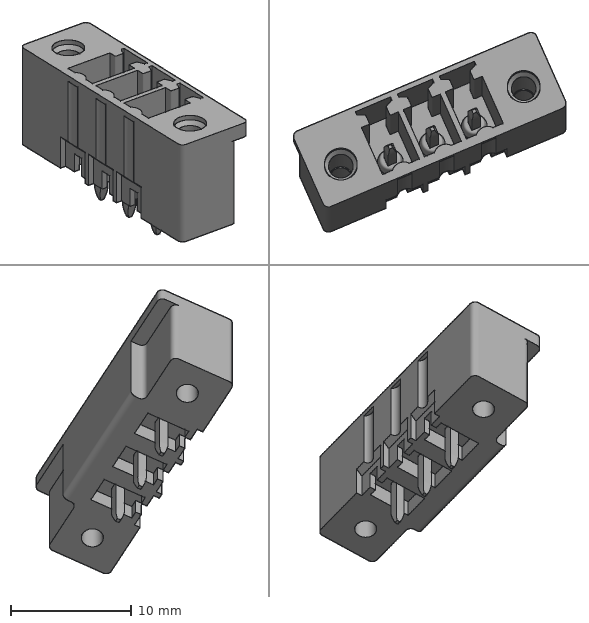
import cadquery as cq

LENGTH = 22.02
WIDTH = 7.05
HEIGHT = 9.2
FRONT_Y = -3.0
BACK_Y = FRONT_Y + WIDTH
CORNER_RADIUS = 0.5

FLANGE_THICKNESS = 1.35
TONGUE_DEPTH = 1.25
FLANGE_BOTTOM = HEIGHT - FLANGE_THICKNESS
SHOULDER_Y = BACK_Y - TONGUE_DEPTH

POLE_COUNT = 3
PITCH = 3.8
POLE_XS = [(i - (POLE_COUNT - 1) / 2) * PITCH for i in range(POLE_COUNT)]

CHAMBER_WIDTH = 3.35
FRONT_WALL = 0.8
CHAMBER_FRONT_Y = FRONT_Y + FRONT_WALL
CHAMBER_BACK_Y = 2.18
CHAMBER_FLOOR = 2.2
NECK_WIDTH = 1.85
NECK_END_Y = 3.02
NECK_CORNER_RADIUS = 0.09
KEY_WIDTH = 3.17
KEY_START_Y = 3.33
KEY_END_Y = 3.61

CHAMBER_WALL = PITCH - CHAMBER_WIDTH
TONGUE_LENGTH = POLE_COUNT * PITCH + CHAMBER_WALL

BULGE_RADIUS = 1.0
BULGE_RISE = 0.35
GROOVE_RADIUS = 0.84
GROOVE_DEPTH = 0.33
GROOVE_TOP = 8.68

RECESS_DEPTH = 0.53
RECESS_ROOF = 2.45

SLOT_WIDTH = 0.97
POCKET_HEIGHT = 1.7
POCKET_WIDTH = 2.33
SLOT_DEPTH = 0.53
POCKET_FRONT_Y = FRONT_Y + RECESS_DEPTH + SLOT_DEPTH

COLLAR_FOOT_RADIUS = 1.08
COLLAR_TOP_RADIUS = 0.85
COLLAR_HEIGHT = 0.88
COLLAR_FILLET = 0.22

HOLE_SPACING = 16.6
HOLE_XS = [-HOLE_SPACING / 2, HOLE_SPACING / 2]
MOUTH_DIAMETER = 2.73
MOUTH_DEPTH = 0.42
BORE_DIAMETER = 2.03
CONE_DEPTH = (MOUTH_DIAMETER - BORE_DIAMETER) / 2
BORE_BOTTOM = FLANGE_BOTTOM / 2
EXIT_DIAMETER = 1.83

PIN_SIZE = 0.8
PIN_BOTTOM = -3.2
PIN_TOP = 7.85
TIP_LENGTH = 1.1
TIP_SIZE = 0.3

SELECT_MARGIN = 0.02


def centered_box(x, width, y0, y1, z0, z1):
    """Box centered on x, between the given Y and Z limits."""
    box = cq.Workplane("XY").box(width, y1 - y0, z1 - z0, centered=(True, False, False))
    return box.translate((x, y0, z0))


def make_block():
    """Rounded block whose back is notched at both ends below the top flange."""
    flange = centered_box(0, LENGTH, FRONT_Y, BACK_Y, FLANGE_BOTTOM, HEIGHT)
    flange = flange.edges("|Z").fillet(CORNER_RADIUS)
    body = centered_box(0, LENGTH, FRONT_Y, SHOULDER_Y, 0, FLANGE_BOTTOM)
    body = body.edges("|Z").fillet(CORNER_RADIUS)

    tongue = centered_box(0, TONGUE_LENGTH, SHOULDER_Y, BACK_Y, 0, FLANGE_BOTTOM)
    block = body.union(tongue)

    tongue_half = TONGUE_LENGTH / 2
    inner_corners = cq.selectors.BoxSelector(
        (-tongue_half - SELECT_MARGIN, SHOULDER_Y - SELECT_MARGIN, 0),
        (tongue_half + SELECT_MARGIN, SHOULDER_Y + SELECT_MARGIN, HEIGHT),
    )
    block = block.edges("|Z").edges(inner_corners).fillet(CORNER_RADIUS)
    block = block.edges("|X").edges(">Y and <Z").fillet(CORNER_RADIUS)
    return block.union(flange)


def make_chamber(x):
    """Keyed cavity with a bulged front wall and a collar left standing around the pin."""
    half_neck = NECK_WIDTH / 2
    half_key = KEY_WIDTH / 2
    main = centered_box(x, CHAMBER_WIDTH, CHAMBER_FRONT_Y, CHAMBER_BACK_Y, CHAMBER_FLOOR, HEIGHT)
    key = (
        cq.Workplane("XY", origin=(x, 0, CHAMBER_FLOOR))
        .moveTo(-half_neck, CHAMBER_BACK_Y)
        .lineTo(-half_neck, NECK_END_Y)
        .lineTo(-half_key, KEY_START_Y)
        .lineTo(-half_key, KEY_END_Y)
        .lineTo(half_key, KEY_END_Y)
        .lineTo(half_key, KEY_START_Y)
        .lineTo(half_neck, NECK_END_Y)
        .lineTo(half_neck, CHAMBER_BACK_Y)
        .close()
        .extrude(HEIGHT - CHAMBER_FLOOR)
    )
    neck_corners = cq.selectors.BoxSelector(
        (x - half_neck - SELECT_MARGIN, CHAMBER_BACK_Y - SELECT_MARGIN, CHAMBER_FLOOR),
        (x + half_neck + SELECT_MARGIN, CHAMBER_BACK_Y + SELECT_MARGIN, HEIGHT),
    )
    cavity = main.union(key).edges("|Z").edges(neck_corners).fillet(NECK_CORNER_RADIUS)

    bulge_y = CHAMBER_FRONT_Y + BULGE_RISE - BULGE_RADIUS
    bulge = (
        cq.Workplane("XY", origin=(x, bulge_y, CHAMBER_FLOOR))
        .circle(BULGE_RADIUS)
        .extrude(HEIGHT - CHAMBER_FLOOR)
    )
    return cavity.cut(bulge).cut(make_collar(x))


def make_collar(x):
    """Tapered collar with a rounded top edge."""
    collar = (
        cq.Workplane("XZ", origin=(x, 0, CHAMBER_FLOOR))
        .polyline(
            [
                (0, 0),
                (COLLAR_FOOT_RADIUS, 0),
                (COLLAR_TOP_RADIUS, COLLAR_HEIGHT),
                (0, COLLAR_HEIGHT),
            ]
        )
        .close()
        .revolve(360, (0, 0, 0), (0, 1, 0))
    )
    return collar.faces(">Z").edges().fillet(COLLAR_FILLET)


def make_front_relief(x):
    """Groove and recess in the front face, with the slot and pocket under the pole."""
    recess = (
        cq.Workplane("YZ", origin=(x - CHAMBER_WIDTH / 2, 0, 0))
        .polyline(
            [
                (FRONT_Y, 0),
                (FRONT_Y, RECESS_ROOF + RECESS_DEPTH),
                (FRONT_Y + RECESS_DEPTH, RECESS_ROOF),
                (FRONT_Y + RECESS_DEPTH, 0),
            ]
        )
        .close()
        .extrude(CHAMBER_WIDTH)
    )
    groove = (
        cq.Workplane("XY", origin=(x, FRONT_Y + GROOVE_DEPTH - GROOVE_RADIUS, 0))
        .circle(GROOVE_RADIUS)
        .extrude(GROOVE_TOP)
    )
    slot = centered_box(x, SLOT_WIDTH, FRONT_Y, POCKET_FRONT_Y, 0, POCKET_HEIGHT)
    pocket = centered_box(x, POCKET_WIDTH, POCKET_FRONT_Y, -POCKET_FRONT_Y, 0, POCKET_HEIGHT)
    return recess.union(groove).union(slot).union(pocket)


def make_screw_hole(x):
    """Countersunk mouth, bore and narrower exit, from the top face down."""
    cone_top = HEIGHT - MOUTH_DEPTH
    cone_bottom = cone_top - CONE_DEPTH
    return (
        cq.Workplane("XZ", origin=(x, 0, 0))
        .polyline(
            [
                (0, 0),
                (EXIT_DIAMETER / 2, 0),
                (EXIT_DIAMETER / 2, BORE_BOTTOM),
                (BORE_DIAMETER / 2, BORE_BOTTOM),
                (BORE_DIAMETER / 2, cone_bottom),
                (MOUTH_DIAMETER / 2, cone_top),
                (MOUTH_DIAMETER / 2, HEIGHT),
                (0, HEIGHT),
            ]
        )
        .close()
        .revolve(360, (0, 0, 0), (0, 1, 0))
    )


def make_pin(x):
    """Square pin; each tip tapers straight in X and along an arc in Y."""
    half = PIN_SIZE / 2
    half_tip = TIP_SIZE / 2
    low = PIN_BOTTOM + TIP_LENGTH
    high = PIN_TOP - TIP_LENGTH
    inset = half - half_tip
    arc_radius = (TIP_LENGTH**2 + inset**2) / (2 * inset)
    arc_y = half - arc_radius + (arc_radius**2 - (TIP_LENGTH / 2) ** 2) ** 0.5
    mid_low = low - TIP_LENGTH / 2
    mid_high = high + TIP_LENGTH / 2
    side = (
        cq.Workplane("YZ", origin=(-half, 0, 0))
        .moveTo(-half, low)
        .lineTo(-half, high)
        .threePointArc((-arc_y, mid_high), (-half_tip, PIN_TOP))
        .lineTo(half_tip, PIN_TOP)
        .threePointArc((arc_y, mid_high), (half, high))
        .lineTo(half, low)
        .threePointArc((arc_y, mid_low), (half_tip, PIN_BOTTOM))
        .lineTo(-half_tip, PIN_BOTTOM)
        .threePointArc((-arc_y, mid_low), (-half, low))
        .close()
        .extrude(PIN_SIZE)
    )
    face = (
        cq.Workplane("XZ", origin=(0, half, 0))
        .polyline(
            [
                (-half, low),
                (-half, high),
                (-half_tip, PIN_TOP),
                (half_tip, PIN_TOP),
                (half, high),
                (half, low),
                (half_tip, PIN_BOTTOM),
                (-half_tip, PIN_BOTTOM),
            ]
        )
        .close()
        .extrude(PIN_SIZE)
    )
    return side.intersect(face).translate((x, 0, 0))


def make_housing(pins):
    """Housing with its chambers, front reliefs, screw holes and matching pin holes."""
    housing = make_block()
    for x in POLE_XS:
        housing = housing.cut(make_chamber(x)).cut(make_front_relief(x))
    for x in HOLE_XS:
        housing = housing.cut(make_screw_hole(x))
    for pin in pins:
        housing = housing.cut(pin)
    return housing.solids()


pins = [make_pin(x) for x in POLE_XS]
housing = make_housing(pins)
result = cq.Compound.makeCompound([housing.val(), *[pin.val() for pin in pins]])